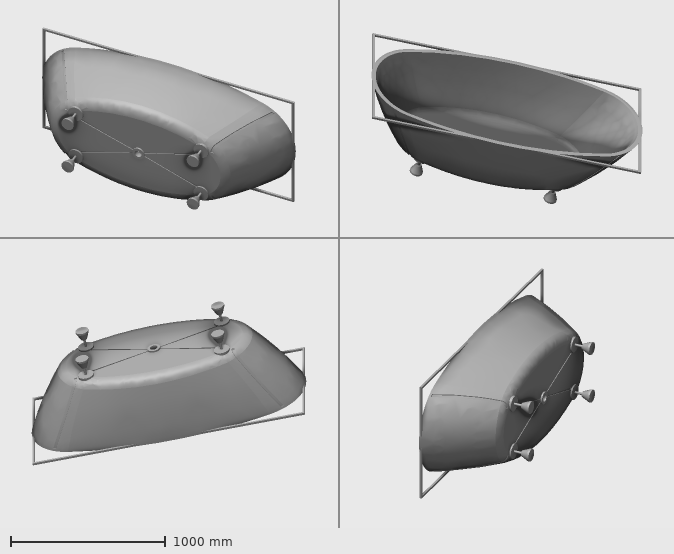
import cadquery as cq
import math


rim_length = 1820.0
rim_width = 839.0
rim_half_length = rim_length / 2
rim_half_width = rim_width / 2
end_slope = 0.47
end_bow = 0.0003737
side_slope = 0.087
side_bow = 0.0002418
tub_depth = 451.0
floor_fillet = 76.0
end_radius_ratio = 0.8
wall = 30.0
loft_sections = 3

drain_radius = 42.0
drain_hole_diameter = 50.0
boss_height = 11.0

foot_x = 450.0
foot_z = 175.0
pad_diameter = 104.0
pad_embed = 22.0
rod_radius = 8.2
cone_depth = 519.0
cone_top_radius = 20.0
base_depth = 571.0
base_diameter = 85.0
foot_depth = 585.0

groove_depth = 5.0
groove_width = 18.0
groove_rim_x = 755.0
groove_floor_x = 520.0
floor_groove_x = 415.0
floor_groove_z = 133.0
floor_groove_outer_width = 15.0
floor_groove_inner_width = 5.0

frame_length = 1803.0
frame_height = 817.0
frame_bar = 15.0


def tub_section(depth, inset):
    """Oval of two end arcs and two tangent side arcs at one depth, shrunk by inset."""
    half_length = rim_half_length - end_slope * depth - end_bow * depth**2 - inset
    half_width = rim_half_width - side_slope * depth - side_bow * depth**2 - inset
    end_radius = end_radius_ratio * half_width
    end_center = half_length - end_radius
    side_radius = (end_center**2 + half_width**2 - end_radius**2) / (2 * (half_width - end_radius))
    side_center = half_width - side_radius
    join_angle = math.atan2(-side_center, end_center)
    join_x = end_center + end_radius * math.cos(join_angle)
    join_z = end_radius * math.sin(join_angle)
    outline = cq.Workplane("XZ", origin=(0, -depth, 0)).moveTo(join_x, -join_z)
    outline = outline.threePointArc((half_length, 0), (join_x, join_z))
    outline = outline.threePointArc((0, half_width), (-join_x, join_z))
    outline = outline.threePointArc((-half_length, 0), (-join_x, -join_z))
    return outline.threePointArc((0, -half_width), (join_x, -join_z)).wire().val()


def tub_form(inset):
    """Solid bowl following the outside of the tub, shrunk by inset, with a rounded floor edge."""
    depth = tub_depth - inset
    wires = [tub_section(depth * i / (loft_sections - 1), inset) for i in range(loft_sections)]
    bowl = cq.Workplane(obj=cq.Solid.makeLoft(wires))
    return bowl.faces("<Y").edges().fillet(floor_fillet - inset)


def at_depth(depth):
    """Workplane facing -Y at a depth below the rim; local x is X and local y is Z."""
    return cq.Workplane("XZ", origin=(0, -depth, 0))


def mirrored_four(solid):
    """The +X +Z original and its mirror images in the other three quadrants."""
    pair = [solid, solid.mirror("YZ")]
    return pair + [half.mirror("XY") for half in pair]


def wall_groove_slab():
    """Slanted slab that runs down the wall from just below the frame to the foot pad."""
    half = groove_width / 2
    outline = [
        (groove_rim_x - half, -frame_bar),
        (groove_rim_x + half, -frame_bar),
        (groove_floor_x + half, -tub_depth),
        (groove_floor_x - half, -tub_depth),
    ]
    slab = cq.Workplane("XY", origin=(0, 0, foot_z)).polyline(outline).close()
    return slab.extrude(rim_half_width - foot_z)


def floor_groove_slab():
    """Tapered strip across the floor from the drain to the foot pad."""
    length = math.hypot(floor_groove_x, floor_groove_z)
    angle = math.degrees(math.atan2(floor_groove_z, floor_groove_x))
    outer = floor_groove_outer_width / 2
    inner = floor_groove_inner_width / 2
    outline = [
        (drain_radius, -inner),
        (length, -outer),
        (length, outer),
        (drain_radius, inner),
    ]
    strip = at_depth(tub_depth - groove_depth).polyline(outline).close().extrude(groove_depth)
    return strip.rotate((0, 0, 0), (0, 1, 0), -angle)


def make_foot():
    """Pad, rod and flared base, turned about the foot axis."""
    pad_depth = tub_depth + boss_height
    pad_radius = pad_diameter / 2
    base_radius = base_diameter / 2
    profile = [
        (0, -tub_depth + pad_embed),
        (pad_radius, -tub_depth + pad_embed),
        (pad_radius, -pad_depth),
        (rod_radius, -pad_depth),
        (rod_radius, -cone_depth),
        (cone_top_radius, -cone_depth),
        (base_radius, -base_depth),
        (base_radius, -foot_depth),
        (0, -foot_depth),
    ]
    foot = cq.Workplane("XY").polyline(profile).close().revolve(360, (0, 0, 0), (0, 1, 0))
    return foot.translate((foot_x, 0, foot_z))


def make_frame():
    """Rectangular frame of square bar, flush with the rim."""
    inner_length = frame_length - 2 * frame_bar
    inner_height = frame_height - 2 * frame_bar
    return at_depth(0).rect(frame_length, frame_height).rect(inner_length, inner_height).extrude(frame_bar)


def make_tub(frame):
    """Hollow tub with its grooves, feet and drain, recessed for the frame."""
    tub = tub_form(0).cut(tub_form(wall))
    wall_groove = wall_groove_slab().cut(tub_form(groove_depth)).val()
    for groove in mirrored_four(wall_groove) + mirrored_four(floor_groove_slab().val()):
        tub = tub.cut(cq.Workplane(obj=groove))
    for foot in mirrored_four(make_foot().val()):
        tub = tub.union(cq.Workplane(obj=foot))
    tub = tub.union(at_depth(tub_depth).circle(drain_radius).extrude(boss_height))
    tub = tub.cut(at_depth(0).circle(drain_hole_diameter / 2).extrude(foot_depth))
    return tub.cut(frame)


frame = make_frame()
tub = make_tub(frame)

result = cq.Compound.makeCompound([tub.solids().val(), frame.val()])